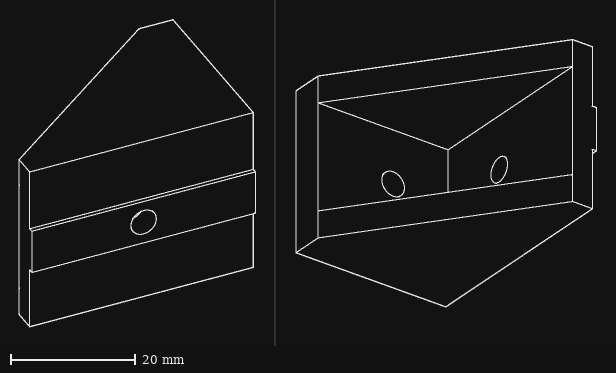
import cadquery as cq

width = 30.0
length = 40.0
height = 30.0

back_thickness = 6.1
flange_thickness = 4.0
web_thickness = 5.0

key_depth = 0.8
key_height = 8.0

hole_diameter = 4.5

flange_inner_x = width - flange_thickness
back_inner_y = length - back_thickness


def bracket_body():
    """Solid block with its open corner cut off along the sloping edge."""
    outline = [
        (0, back_inner_y),
        (flange_inner_x, 0),
        (width, 0),
        (width, length),
        (0, length),
    ]
    return cq.Workplane("XY").polyline(outline).close().extrude(height)


def pocket():
    """Triangular space between the walls and the two webs."""
    outline = [
        (0, back_inner_y),
        (flange_inner_x, 0),
        (flange_inner_x, back_inner_y),
    ]
    pocket_height = height - 2 * web_thickness
    return (
        cq.Workplane("XY", origin=(0, 0, web_thickness))
        .polyline(outline).close()
        .extrude(pocket_height)
    )


def locating_key():
    """Rib along the full length of the flange."""
    key_bottom = (height - key_height) / 2
    return cq.Workplane("XY").box(
        key_depth, length, key_height, centered=False
    ).translate((width, 0, key_bottom))


def bolt_hole(plane, origin, depth):
    """Cylinder that drills one wall, starting at its inner face."""
    return (
        cq.Workplane(plane, origin=origin)
        .circle(hole_diameter / 2)
        .extrude(depth)
    )


back_hole = bolt_hole("XZ", (width / 2, back_inner_y, height / 2), -back_thickness)
flange_hole = bolt_hole(
    "YZ", (flange_inner_x, length / 2, height / 2), flange_thickness + key_depth
)

result = (
    bracket_body()
    .cut(pocket())
    .union(locating_key())
    .cut(back_hole)
    .cut(flange_hole)
)